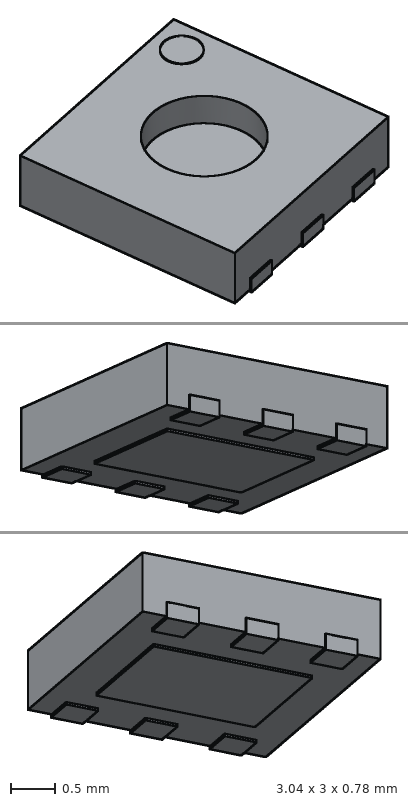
import cadquery as cq

body_side = 3.0
body_height = 0.74

overall_length = 3.04
foot_thickness = 0.03
terminal_width = 0.4
terminal_pitch = 1.0
terminal_top = 0.17
terminal_reach = 0.4
terminal_rows = (-terminal_pitch, 0, terminal_pitch)

pad_length = 1.5
pad_width = 2.0

recess_diameter = 1.44
recess_depth = 0.4

marker_diameter = 0.5
marker_height = 0.012
marker_x = -1.1
marker_y = -marker_x


def block(x_min, x_max, y_centre, width, z_min, z_max):
    """Box between two X and two Z limits, centred on y_centre."""
    return (
        cq.Workplane("XY")
        .box(x_max - x_min, width, z_max - z_min, centered=(False, True, False))
        .translate((x_min, y_centre, z_min))
    )


def terminal(y_centre):
    """L-shaped terminal on the -X side: a foot below and a plate up the side."""
    outer = -overall_length / 2
    side = -body_side / 2
    foot = block(outer, outer + terminal_reach, y_centre, terminal_width, -foot_thickness, 0)
    plate = block(outer, side, y_centre, terminal_width, -foot_thickness, terminal_top)
    return foot.union(plate)


body = block(-body_side / 2, body_side / 2, 0, body_side, 0, body_height)
recess = (
    cq.Workplane("XY", origin=(0, 0, body_height - recess_depth))
    .circle(recess_diameter / 2)
    .extrude(recess_depth)
)
result = body.cut(recess)

marker = (
    cq.Workplane("XY", origin=(marker_x, marker_y, body_height))
    .circle(marker_diameter / 2)
    .extrude(marker_height)
)
result = result.union(marker)

result = result.union(block(-pad_length / 2, pad_length / 2, 0, pad_width, -foot_thickness, 0))

for row in terminal_rows:
    left_terminal = terminal(row)
    result = result.union(left_terminal).union(left_terminal.mirror("YZ"))